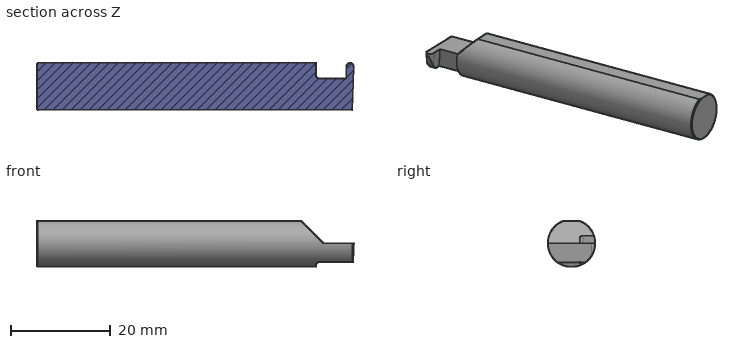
import cadquery as cq
import math

shank_diameter = 9.525
overall_length = 63.5
flat_height = 4.478
rear_chamfer = 0.2

rake_height = 0.0
ramp_angle = 45.0
ramp_end_x = 57.4
belly_depth = 3.8
neck_start_x = 55.9
notch_floor_y = 1.62
neck_fillet = 0.6
tooth_width = 1.6
front_lean_angle = 2.0
side_relief_angle = 2.5

shank_radius = shank_diameter / 2
tooth_radius = tooth_width / 2
tooth_back_x = overall_length - tooth_width
tooth_center_x = tooth_back_x + tooth_radius
tooth_center_y = shank_radius - tooth_radius
clearance = shank_diameter


def make_shank():
    bar = cq.Workplane("YZ").circle(shank_radius).extrude(overall_length)
    bar = bar.faces("<X").chamfer(rear_chamfer)
    flat_cut = (
        cq.Workplane("XY")
        .workplane(offset=flat_height)
        .rect(2 * overall_length, 2 * clearance)
        .extrude(clearance)
    )
    return bar.cut(flat_cut)


def make_top_cut():
    """Material above the ramp and the rake face."""
    top_z = rake_height + clearance
    ramp_top_x = ramp_end_x - (top_z - rake_height) / math.tan(math.radians(ramp_angle))
    front_x = overall_length + clearance
    return (
        cq.Workplane("XZ")
        .moveTo(ramp_top_x, top_z)
        .lineTo(ramp_end_x, rake_height)
        .lineTo(front_x, rake_height)
        .lineTo(front_x, top_z)
        .close()
        .extrude(clearance, both=True)
    )


def make_underside_cut():
    """Relief below the neck, with a rounded corner where it meets the shank."""
    front_x = overall_length + clearance
    return (
        cq.Workplane("XZ")
        .moveTo(neck_start_x, -clearance)
        .lineTo(neck_start_x, -belly_depth - neck_fillet)
        .radiusArc((neck_start_x + neck_fillet, -belly_depth), neck_fillet)
        .lineTo(front_x, -belly_depth)
        .lineTo(front_x, -clearance)
        .close()
        .extrude(clearance, both=True)
    )


def make_body_envelope():
    """Plan shape of the shank and of the neck beside the notch, up to the tooth."""
    return (
        cq.Workplane("XY")
        .workplane(offset=-clearance)
        .moveTo(-clearance, -clearance)
        .lineTo(-clearance, clearance)
        .lineTo(neck_start_x, clearance)
        .lineTo(neck_start_x, notch_floor_y + neck_fillet)
        .radiusArc((neck_start_x + neck_fillet, notch_floor_y), -neck_fillet)
        .lineTo(tooth_center_x, notch_floor_y)
        .lineTo(tooth_center_x, -clearance)
        .close()
        .extrude(2 * clearance)
    )


def make_tooth_envelope():
    """Round-tipped tooth with a leaning front face, narrowing below the rake face."""
    lean = math.radians(front_lean_angle)
    front_x = tooth_center_x + tooth_radius * math.cos(lean)
    front_y = tooth_center_y - tooth_radius * math.sin(lean)
    corner_x = front_x - (front_y + clearance) * math.tan(lean)
    return (
        cq.Workplane("XY")
        .workplane(offset=rake_height)
        .moveTo(tooth_back_x, -clearance)
        .lineTo(tooth_back_x, tooth_center_y)
        .threePointArc((tooth_center_x, shank_radius), (front_x, front_y))
        .lineTo(corner_x, -clearance)
        .close()
        .extrude(-shank_radius, taper=side_relief_angle)
    )


envelope = make_body_envelope().union(make_tooth_envelope())
result = (
    make_shank()
    .cut(make_top_cut())
    .cut(make_underside_cut())
    .intersect(envelope)
)